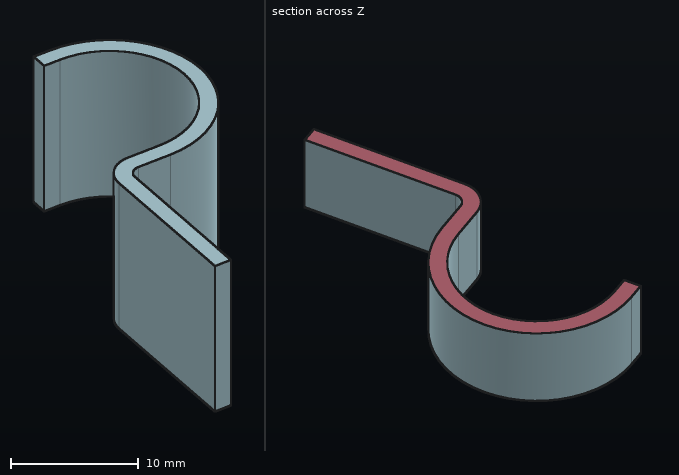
import cadquery as cq
import math

length = 31.5
depth = 14.0
width = 14.0

thickness = 1.5
clip_radius = 8.5
free_leg = 1.5
bend_inner = 0.98

clip_inner = clip_radius - thickness
bend_outer = bend_inner + thickness
flange_bottom = clip_radius - depth
flange_top = flange_bottom + thickness
flange_end = length - clip_radius
bend_x = clip_inner + bend_outer
bend_y = flange_bottom + bend_outer


def bend_middle(radius):
    """Point halfway round the quarter bend at the given radius."""
    offset = radius * math.cos(math.radians(45))
    return (bend_x - offset, bend_y - offset)


profile = (
    cq.Workplane("XY")
    .moveTo(-clip_radius, -free_leg)
    .lineTo(-clip_radius, 0)
    .threePointArc((0, clip_radius), (clip_radius, 0))
    .lineTo(clip_radius, bend_y)
    .threePointArc(bend_middle(bend_inner), (bend_x, flange_top))
    .lineTo(flange_end, flange_top)
    .lineTo(flange_end, flange_bottom)
    .lineTo(bend_x, flange_bottom)
    .threePointArc(bend_middle(bend_outer), (clip_inner, bend_y))
    .lineTo(clip_inner, 0)
    .threePointArc((0, clip_inner), (-clip_inner, 0))
    .lineTo(-clip_inner, -free_leg)
    .close()
)

result = profile.extrude(width)